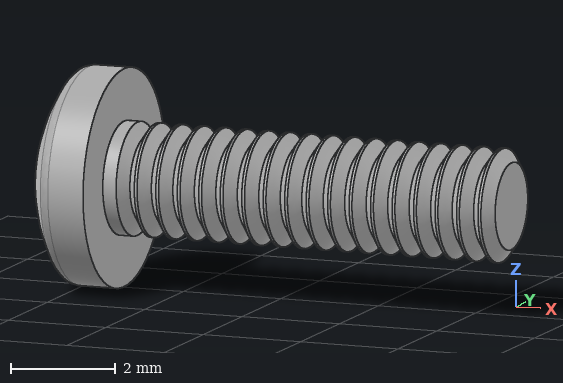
import cadquery as cq
import math

overall_length = 9.48

head_diameter = 4.24
head_radius = head_diameter / 2
dome_radius = 3.52
rim_fillet = 0.24
bearing_to_tip = 1.53

arm_span = 2.79
arm_width = 0.67
recess_floor_width = 0.37
recess_depth = 1.52

thread_diameter = 2.2
root_diameter = 1.69
collar_length = 0.275
collar_flank = 0.18
crest_flat = 0.06
crest_count = 17

thread_radius = thread_diameter / 2
root_radius = root_diameter / 2
shank_length = overall_length - bearing_to_tip
thread_start = collar_length + collar_flank
pitch = (shank_length - thread_start) / crest_count


def dome_sag(radius):
    """Axial drop of the dome from its apex at a given distance from the axis."""
    return dome_radius - math.sqrt(dome_radius**2 - radius**2)


mouth_sag = dome_sag(arm_width / math.sqrt(2))
corner_arm_width = arm_width - (arm_width - recess_floor_width) * mouth_sag / recess_depth
apex_x = -bearing_to_tip - dome_sag(corner_arm_width / math.sqrt(2))


def make_head():
    """Domed disc with a rounded rim."""
    mid_radius = head_radius / 2
    dome_edge_x = apex_x + dome_sag(head_radius)
    head = (
        cq.Workplane("XY")
        .moveTo(0, 0)
        .lineTo(0, head_radius)
        .lineTo(dome_edge_x, head_radius)
        .threePointArc((apex_x + dome_sag(mid_radius), mid_radius), (apex_x, 0))
        .close()
        .revolve(360, (0, 0, 0), (1, 0, 0))
    )
    rim_edge = head.faces("<X").edges(">X")
    return rim_edge.fillet(rim_fillet)


def make_shank():
    """Plain collar followed by ring-shaped thread crests, ending at a root."""
    profile = (
        cq.Workplane("XY")
        .moveTo(0, 0)
        .lineTo(0, thread_radius)
        .lineTo(collar_length, thread_radius)
        .lineTo(thread_start, root_radius)
    )
    for index in range(crest_count):
        crest_x = thread_start + (index + 0.5) * pitch
        profile = (
            profile.lineTo(crest_x - crest_flat / 2, thread_radius)
            .lineTo(crest_x + crest_flat / 2, thread_radius)
            .lineTo(crest_x + pitch / 2, root_radius)
        )
    return profile.lineTo(shank_length, 0).close().revolve(360, (0, 0, 0), (1, 0, 0))


def make_recess_arm(y_size, z_size):
    """One bar of the cross, tapering from the apex plane to the small square floor."""
    return (
        cq.Workplane("YZ", origin=(apex_x, 0, 0))
        .rect(y_size, z_size)
        .workplane(offset=recess_depth)
        .rect(recess_floor_width, recess_floor_width)
        .loft(ruled=True)
    )


recess = make_recess_arm(arm_span, arm_width).union(make_recess_arm(arm_width, arm_span))
result = make_head().union(make_shank()).cut(recess)